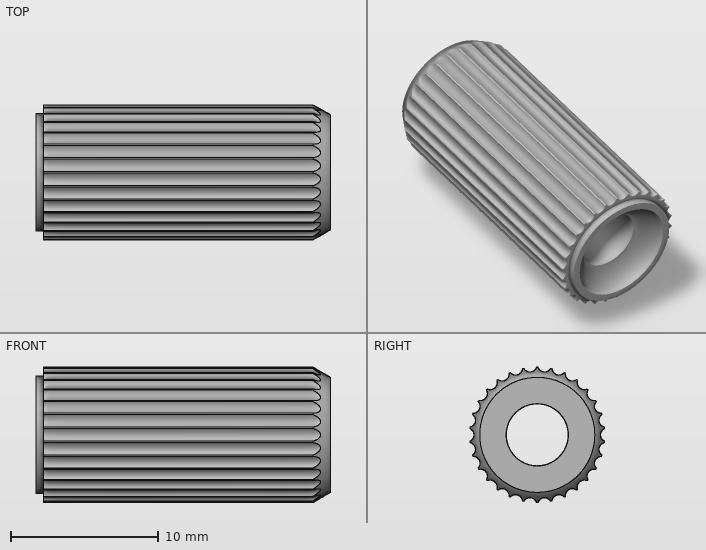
import cadquery as cq
import math

length = 20.0
tip_radius = 4.6
root_radius = 4.3
tooth_count = 30
tooth_tip_width = 0.1

collar_length = 0.5
collar_radius = 4.0

chamfer_length = 1.2
chamfer_angle = 30.0

bore_radius = 2.1
recess_radius = 3.5
recess_lip = 0.1
recess_arc_radius = recess_radius - bore_radius

start_x = -length / 2
end_x = length / 2


def turned_body():
    """Revolved blank: collar, full-diameter barrel and end chamfer."""
    end_radius = tip_radius - chamfer_length * math.tan(math.radians(chamfer_angle))
    return (
        cq.Workplane("XY")
        .moveTo(start_x, 0)
        .lineTo(start_x, collar_radius)
        .lineTo(start_x + collar_length, collar_radius)
        .lineTo(start_x + collar_length, tip_radius)
        .lineTo(end_x - chamfer_length, tip_radius)
        .lineTo(end_x, end_radius)
        .lineTo(end_x, 0)
        .close()
        .revolve(360, (0, 0, 0), (1, 0, 0))
    )


def flute_cutters():
    """Round-bottomed flutes between the teeth; one tooth points along +Z."""
    pitch = 2 * math.pi / tooth_count
    half_angle = pitch / 2 - tooth_tip_width / (2 * tip_radius)
    half_width = tip_radius * math.sin(half_angle)
    depth = tip_radius * math.cos(half_angle) - root_radius
    flute_radius = (half_width**2 + depth**2) / (2 * depth)
    first_angle = 90 + math.degrees(pitch) / 2
    return (
        cq.Workplane("YZ", origin=(start_x, 0, 0))
        .polarArray(root_radius + flute_radius, first_angle, 360, tooth_count)
        .circle(flute_radius)
        .extrude(length)
    )


def bore_cutter():
    """Through bore that opens into a concave rounded recess at the collar end."""
    arc_start_x = start_x + recess_lip
    arc_offset = recess_arc_radius * math.sqrt(0.5)
    return (
        cq.Workplane("XY")
        .moveTo(start_x, 0)
        .lineTo(start_x, recess_radius)
        .lineTo(arc_start_x, recess_radius)
        .threePointArc(
            (arc_start_x + arc_offset, bore_radius + arc_offset),
            (arc_start_x + recess_arc_radius, bore_radius),
        )
        .lineTo(end_x, bore_radius)
        .lineTo(end_x, 0)
        .close()
        .revolve(360, (0, 0, 0), (1, 0, 0))
    )


result = turned_body().cut(flute_cutters()).cut(bore_cutter())